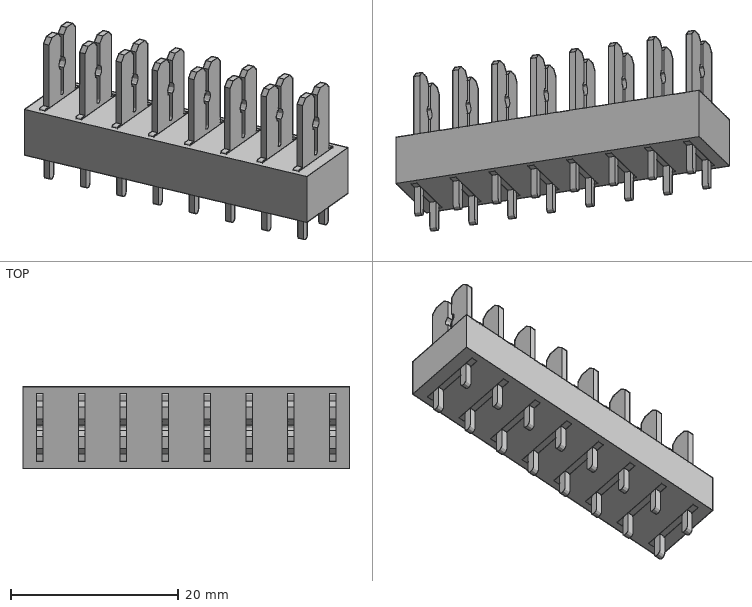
import cadquery as cq

HOUSING_LENGTH = 39.0
HOUSING_WIDTH = 9.8
HOUSING_HEIGHT = 6.0

CONTACT_COUNT = 8
END_INSET = 2.0
CONTACT_PITCH = (HOUSING_LENGTH - 2 * END_INSET) / (CONTACT_COUNT - 1)
CONTACT_THICKNESS = 0.78

BASE_WIDTH = 8.1
BASE_PROUD = 0.2
BASE_ROUND = BASE_PROUD

BLADE_WIDTH = 6.3
BLADE_RISE = 8.97
BLADE_CHAMFER = 0.7
FORK_GAP = 0.65
FORK_FLOOR_RISE = 0.6
RELIEF_DIAMETER = 1.52
RELIEF_BELOW_TIP = 4.3

LEG_WIDTH = 0.98
LEG_LENGTH = 3.5
LEG_SPACING = 5.0
LEG_ROUND = 0.45

BASE_TOP = HOUSING_HEIGHT + BASE_PROUD
BLADE_TOP = HOUSING_HEIGHT + BLADE_RISE
FORK_FLOOR = HOUSING_HEIGHT + FORK_FLOOR_RISE

CONTACT_POSITIONS = [
    (i - (CONTACT_COUNT - 1) / 2) * CONTACT_PITCH for i in range(CONTACT_COUNT)
]


def plate(width, bottom, top, y_centre=0.0):
    """Flat plate of contact thickness, centred on X = 0 and spanning bottom to top in Z."""
    return cq.Workplane("XY").box(
        CONTACT_THICKNESS, width, top - bottom, centered=(True, True, False)
    ).translate((0, y_centre, bottom))


def make_base():
    """Base plate with the two exposed top corners rounded."""
    return plate(BASE_WIDTH, 0, BASE_TOP).edges("|X and >Z").fillet(BASE_ROUND)


def make_fork_cut():
    """Round-bottomed slot down the blade, widened by a round relief hole."""
    floor_centre = FORK_FLOOR + FORK_GAP / 2
    slot = plate(FORK_GAP, floor_centre, BLADE_TOP)
    holes = [
        (floor_centre, FORK_GAP),
        (BLADE_TOP - RELIEF_BELOW_TIP, RELIEF_DIAMETER),
    ]
    for height, diameter in holes:
        hole = (
            cq.Workplane("YZ", origin=(-CONTACT_THICKNESS / 2, 0, height))
            .circle(diameter / 2)
            .extrude(CONTACT_THICKNESS)
        )
        slot = slot.union(hole)
    return slot


def make_blade():
    """Pair of chamfered prongs, joined at the bottom of the fork."""
    prong_width = (BLADE_WIDTH - FORK_GAP) / 2
    prong_offset = (BLADE_WIDTH - prong_width) / 2
    blade = plate(BLADE_WIDTH, 0, FORK_FLOOR + FORK_GAP)
    for side in (-1, 1):
        prong = plate(prong_width, 0, BLADE_TOP, side * prong_offset)
        blade = blade.union(prong.edges("|X and >Z").chamfer(BLADE_CHAMFER))
    return blade.cut(make_fork_cut())


def make_leg(side):
    """Leg with a rounded tip, on the given side of the contact's centre line."""
    leg = plate(LEG_WIDTH, -LEG_LENGTH, 0, side * LEG_SPACING / 2)
    return leg.edges("|X and <Z").fillet(LEG_ROUND)


def make_contact(x):
    """One complete contact at the given X position."""
    contact = make_base().union(make_blade())
    for side in (-1, 1):
        contact = contact.union(make_leg(side))
    return contact.clean().translate((x, 0, 0))


def make_housing():
    """Block with one through slot for each contact base."""
    housing = cq.Workplane("XY").box(
        HOUSING_LENGTH, HOUSING_WIDTH, HOUSING_HEIGHT, centered=(True, True, False)
    )
    for x in CONTACT_POSITIONS:
        slot = plate(BASE_WIDTH, 0, HOUSING_HEIGHT)
        housing = housing.cut(slot.translate((x, 0, 0)))
    return housing


housing = make_housing()
contacts = [make_contact(x) for x in CONTACT_POSITIONS]

result = cq.Compound.makeCompound([housing.val(), *[contact.val() for contact in contacts]])